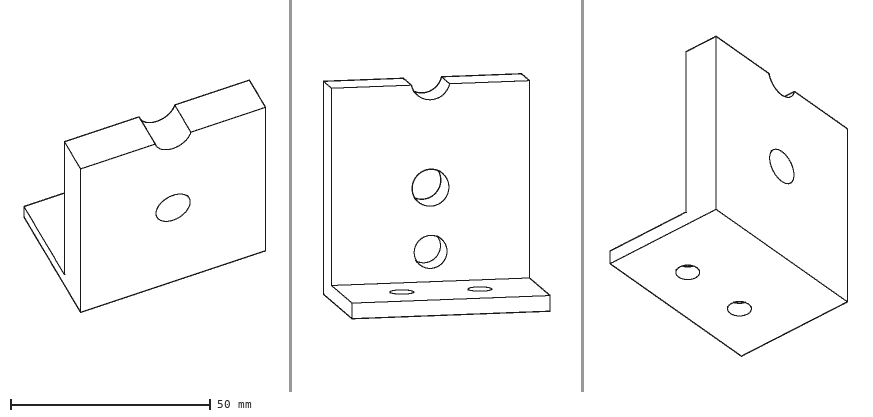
import cadquery as cq

length = 35.0
width = 50.8
height = 54.35

base_thickness = 4.0
wall_thickness = 10.0

mount_diameter = 6.0
mount_spacing = 20.0

bore_diameter = 9.4
bore_height = 28.0
pocket_diameter = 8.4
pocket_height = 11.65
pocket_depth = 8.0
notch_diameter = 10.0
notch_depth = 3.9

wall_face = length - wall_thickness
mount_x = wall_face / 2


def make_bracket():
    """L-shaped body: a flat base with a thicker upright wall."""
    base = cq.Workplane("XY").box(length, width, base_thickness, centered=(False, True, False))
    wall = (
        cq.Workplane("XY")
        .box(wall_thickness, width, height, centered=(False, True, False))
        .translate((wall_face, 0, 0))
    )
    return base.union(wall)


def wall_cutter(diameter, centre_height, depth):
    """Cylinder running along X into the wall from its inner face."""
    return (
        cq.Workplane("YZ", origin=(wall_face, 0, centre_height))
        .circle(diameter / 2)
        .extrude(depth)
    )


def mount_cutters():
    """Pair of vertical cylinders through the base."""
    return (
        cq.Workplane("XY")
        .pushPoints([(mount_x, side * mount_spacing / 2) for side in (-1, 1)])
        .circle(mount_diameter / 2)
        .extrude(base_thickness)
    )


notch_centre = height - notch_depth + notch_diameter / 2

result = (
    make_bracket()
    .cut(mount_cutters())
    .cut(wall_cutter(bore_diameter, bore_height, wall_thickness))
    .cut(wall_cutter(pocket_diameter, pocket_height, pocket_depth))
    .cut(wall_cutter(notch_diameter, notch_centre, wall_thickness))
)